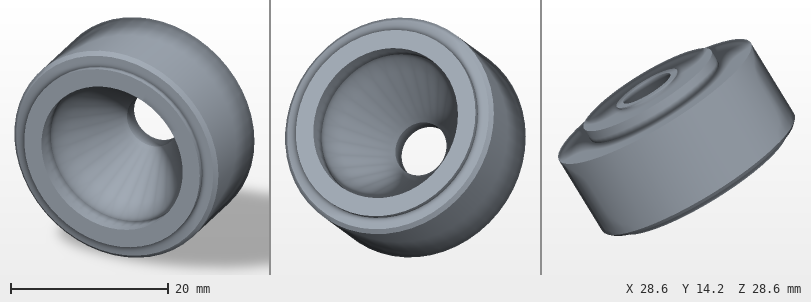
import cadquery as cq


front_boss_diameter = 24.6
front_boss_height = 0.8
body_diameter = 28.6
body_length = 11.35
body_chamfer = 0.5
rear_boss_diameter = 19.0
rear_boss_height = 1.8
rear_pad_diameter = 9.0
rear_pad_height = 0.2

bore_diameter = 19.8
bore_depth = 2.8
cone_end = 12.0
through_hole_diameter = 7.0

front_boss_radius = front_boss_diameter / 2
body_radius = body_diameter / 2
rear_boss_radius = rear_boss_diameter / 2
rear_pad_radius = rear_pad_diameter / 2
bore_radius = bore_diameter / 2
hole_radius = through_hole_diameter / 2

body_rear = front_boss_height + body_length
rear_boss_end = body_rear + rear_boss_height
overall_length = rear_boss_end + rear_pad_height


def ring_profile():
    """Closed half section of the ring, as (radius, distance along Y)."""
    outer_steps = [
        (front_boss_radius, 0),
        (front_boss_radius, front_boss_height),
        (body_radius - body_chamfer, front_boss_height),
        (body_radius, front_boss_height + body_chamfer),
        (body_radius, body_rear),
        (rear_boss_radius, body_rear),
        (rear_boss_radius, rear_boss_end),
        (rear_pad_radius, rear_boss_end),
        (rear_pad_radius, overall_length),
    ]
    inner_passage = [
        (hole_radius, overall_length),
        (hole_radius, cone_end),
        (bore_radius, bore_depth),
        (bore_radius, 0),
    ]
    return cq.Workplane("XY").polyline(outer_steps + inner_passage).close()


result = ring_profile().revolve(360, (0, 0, 0), (0, 1, 0))